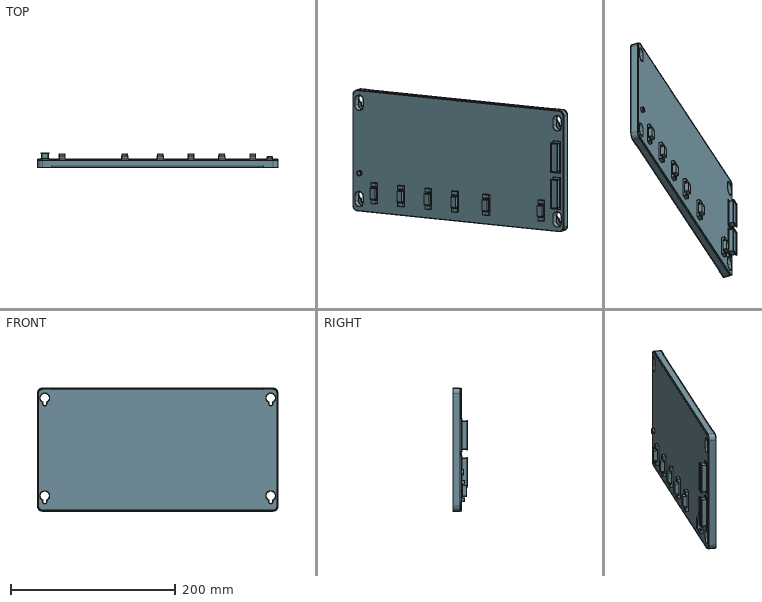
import cadquery as cq
import math

WIDTH = 292.86
HEIGHT = 149.86
TOTAL_DEPTH = 17.93
CORNER_RADIUS = 6.35

FRONT_RIM_DEPTH = 0.1
FRONT_RIM_INSET = 1.3
WALL_BACK = 8.8
LID_BACK = 10.3
LID_TAPER = 0.5

ROUNDING_END_MARGIN = 18.0
EDGE_RADIUS = 1.6

KEYHOLE_DIAMETER = 11.43
KEYHOLE_SLOT_WIDTH = 4.4
KEYHOLE_DROP = 7.3
KEYHOLE_WALL = 1.5
KEYHOLE_SIDE_MARGIN = 8.9
KEYHOLE_TOP_MARGIN = 11.9
KEYHOLE_SPACING_Z = 119.1

BLOCK_X = -137.2
BLOCK_SPACING_Z = 45.0
BLOCK_UPPER_Z = 17.6
BLOCK_WIDTH = 7.94
BLOCK_LENGTH = 34.4
BLOCK_CAP_WIDTH = 9.7
BLOCK_CAP_LENGTH = 36.2
BLOCK_CAP_THICKNESS = 0.9
BLOCK_BASE_LENGTH = 39.4
BLOCK_BASE_THICKNESS = 0.8

CONNECTOR_Z = -50.3
CONNECTOR_BODY_BACK = 16.8
CONNECTOR_BODY_LENGTH = 13.2
CONNECTOR_LUG_BACK = 13.9
CONNECTOR_LUG_LENGTH = 4.4
CONNECTOR_PAD_BACK = 12.0
CONNECTOR_LENGTH = 25.6
EVEN_LUG_WIDTH = 7.06
EVEN_BODY_WIDTH = 6.96
EVEN_CONNECTOR_X = (-116.4, 40.5, 115.5)
STEPPED_LUG_WIDTH = 7.94
STEPPED_BODY_WIDTH = 6.6
STEPPED_BODY_SHIFT = -0.15
STEPPED_CONNECTOR_X = (-40.1, 3.1, 78.1)

BUTTON_X = 136.3
BUTTON_Z = BLOCK_UPPER_Z - BLOCK_SPACING_Z
BUTTON_DIAMETER = 6.2
BUTTON_BACK = 13.2
BUTTON_CHAMFER = 0.4


def block(x, z, width, length, y_front, y_back):
    """Box centred on (x, z), running from y_front to y_back."""
    box = cq.Workplane("XY").box(width, y_back - y_front, length)
    return box.translate((x, (y_front + y_back) / 2, z))


def rounded_plate(inset, y_front, y_back):
    """Enclosure outline drawn in by an inset, with rounded corners."""
    plate = block(0, 0, WIDTH - 2 * inset, HEIGHT - 2 * inset, y_front, y_back)
    return plate.edges("|Y").fillet(CORNER_RADIUS - inset)


def enclosure():
    """Plate with a barely recessed rim round its front face and a tapered lid on its back."""
    walls = rounded_plate(0, FRONT_RIM_DEPTH, WALL_BACK)
    face = rounded_plate(FRONT_RIM_INSET, 0, WALL_BACK)
    lid_thickness = LID_BACK - WALL_BACK
    taper_angle = math.degrees(math.atan(LID_TAPER / lid_thickness))
    lid_outline = walls.faces(">Y").wires().toPending().workplane()
    lid = lid_outline.extrude(lid_thickness, taper=taper_angle, combine=False)
    return walls.union(face).union(lid)


def edge_rounding(side):
    """Material removed to round the top (side = 1) or bottom (side = -1) front edge."""
    edge_z = side * HEIGHT / 2
    length = WIDTH - 2 * ROUNDING_END_MARGIN
    corner = block(0, edge_z - side * EDGE_RADIUS / 2, length, EDGE_RADIUS, 0, EDGE_RADIUS)
    round_bar = cq.Workplane("YZ").center(EDGE_RADIUS, edge_z - side * EDGE_RADIUS).circle(EDGE_RADIUS)
    return corner.cut(round_bar.extrude(length / 2, both=True))


def obround_drop(x, z, width, y_front, y_back):
    """Vertical slot whose upper end is centred on (x, z) and lower end KEYHOLE_DROP below."""
    slot = cq.Workplane("XZ", origin=(x, y_front, z - KEYHOLE_DROP / 2))
    return slot.slot2D(KEYHOLE_DROP + width, width, 90).extrude(y_front - y_back)


def keyhole(x, z):
    """Keyhole in the front wall, opening into a full-width clearance slot behind it."""
    opening = cq.Workplane("XZ").center(x, z).circle(KEYHOLE_DIAMETER / 2).extrude(-KEYHOLE_WALL)
    narrow_slot = obround_drop(x, z, KEYHOLE_SLOT_WIDTH, 0, KEYHOLE_WALL)
    clearance = obround_drop(x, z, KEYHOLE_DIAMETER, KEYHOLE_WALL, LID_BACK)
    return opening.union(narrow_slot).union(clearance)


def flanged_block(z):
    """Block with a thin base flange against the lid and a thin cap."""
    base_back = LID_BACK + BLOCK_BASE_THICKNESS
    base = block(BLOCK_X, z, BLOCK_CAP_WIDTH, BLOCK_BASE_LENGTH, WALL_BACK, base_back)
    body = block(BLOCK_X, z, BLOCK_WIDTH, BLOCK_LENGTH, WALL_BACK, TOTAL_DEPTH)
    cap_front = TOTAL_DEPTH - BLOCK_CAP_THICKNESS
    cap = block(BLOCK_X, z, BLOCK_CAP_WIDTH, BLOCK_CAP_LENGTH, cap_front, TOTAL_DEPTH)
    return base.union(body).union(cap)


def connector(x, lug_width, body_width, body_shift):
    """Raised body on a pad, with a lower lug at each end of the pad."""
    part = block(x, CONNECTOR_Z, lug_width, CONNECTOR_LENGTH, WALL_BACK, CONNECTOR_PAD_BACK)
    body_x = x + body_shift
    body = block(body_x, CONNECTOR_Z, body_width, CONNECTOR_BODY_LENGTH, WALL_BACK, CONNECTOR_BODY_BACK)
    part = part.union(body)
    lug_offset = (CONNECTOR_LENGTH - CONNECTOR_LUG_LENGTH) / 2
    for side in (-1, 1):
        lug_z = CONNECTOR_Z + side * lug_offset
        lug = block(x, lug_z, lug_width, CONNECTOR_LUG_LENGTH, WALL_BACK, CONNECTOR_LUG_BACK)
        part = part.union(lug)
    return part


def button():
    """Round button with a chamfered end, standing on the lid."""
    stem = cq.Workplane("XZ", origin=(0, WALL_BACK, 0)).center(BUTTON_X, BUTTON_Z)
    stem = stem.circle(BUTTON_DIAMETER / 2).extrude(WALL_BACK - BUTTON_BACK)
    return stem.faces(">Y").chamfer(BUTTON_CHAMFER)


result = enclosure()

for side in (-1, 1):
    result = result.cut(edge_rounding(side))

keyhole_x = WIDTH / 2 - KEYHOLE_SIDE_MARGIN
keyhole_top_z = HEIGHT / 2 - KEYHOLE_TOP_MARGIN
for x in (-keyhole_x, keyhole_x):
    for z in (keyhole_top_z, keyhole_top_z - KEYHOLE_SPACING_Z):
        result = result.cut(keyhole(x, z))

for z in (BLOCK_UPPER_Z, BLOCK_UPPER_Z - BLOCK_SPACING_Z):
    result = result.union(flanged_block(z))
for x in EVEN_CONNECTOR_X:
    result = result.union(connector(x, EVEN_LUG_WIDTH, EVEN_BODY_WIDTH, 0))
for x in STEPPED_CONNECTOR_X:
    result = result.union(connector(x, STEPPED_LUG_WIDTH, STEPPED_BODY_WIDTH, STEPPED_BODY_SHIFT))
result = result.union(button())